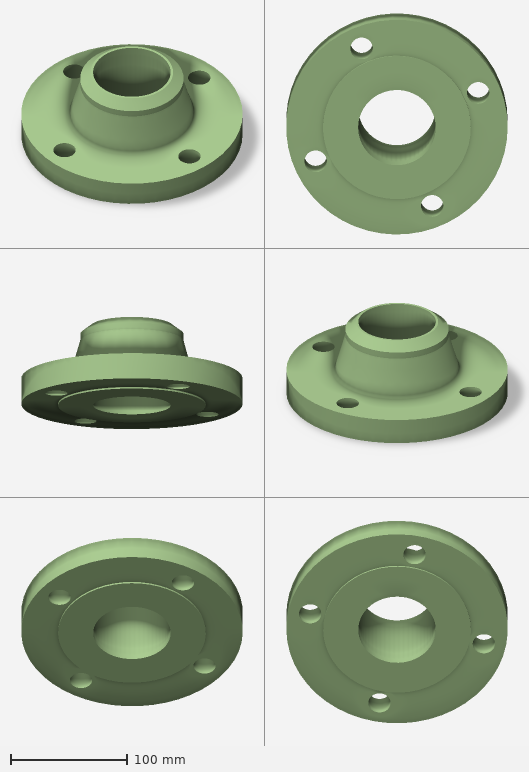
import cadquery as cq
import math

flange_diameter = 190.5
total_height = 69.9

raised_face_diameter = 127.0
raised_face_height = 1.5
flange_top = 23.8

hub_base_diameter = 108.0
neck_diameter = 89.0
hub_top = 57.1
hub_fillet_radius = 3.0
bore_diameter = 66.7
weld_land = 2.0
bevel_angle = 37.5
weld_end_diameter = bore_diameter + 2 * weld_land
bevel_width = (neck_diameter - weld_end_diameter) / 2
bevel_height = bevel_width * math.tan(math.radians(bevel_angle))

bolt_count = 4
bolt_circle_diameter = 152.4
bolt_hole_diameter = 19.2


def disc(diameter, bottom, top):
    """Upright cylinder on the Z axis between two heights."""
    return cq.Workplane("XY").workplane(offset=bottom).circle(diameter / 2).extrude(top - bottom)


def hub_and_plate():
    """Plate and hub turned as one piece, with a fillet at the foot of the taper."""
    profile = [
        (0, raised_face_height),
        (flange_diameter / 2, raised_face_height),
        (flange_diameter / 2, flange_top),
        (hub_base_diameter / 2, flange_top),
        (neck_diameter / 2, hub_top),
        (neck_diameter / 2, total_height - bevel_height),
        (weld_end_diameter / 2, total_height),
        (0, total_height),
    ]
    body = cq.Workplane("XZ").polyline(profile).close().revolve(360, (0, 0), (0, 1))
    plate_face = body.faces("|Z").faces(cq.selectors.CenterNthSelector(cq.Vector(0, 0, 1), 1))
    foot_edge = plate_face.edges(cq.selectors.RadiusNthSelector(0))
    return foot_edge.fillet(hub_fillet_radius)


def bolt_holes():
    """Cutters for the bolt holes, spaced evenly from the X axis."""
    return (
        cq.Workplane("XY")
        .polarArray(bolt_circle_diameter / 2, 0, 360, bolt_count)
        .circle(bolt_hole_diameter / 2)
        .extrude(total_height)
    )


raised_face = disc(raised_face_diameter, 0, raised_face_height)
bore = disc(bore_diameter, 0, total_height)

result = hub_and_plate().union(raised_face).cut(bore).cut(bolt_holes())